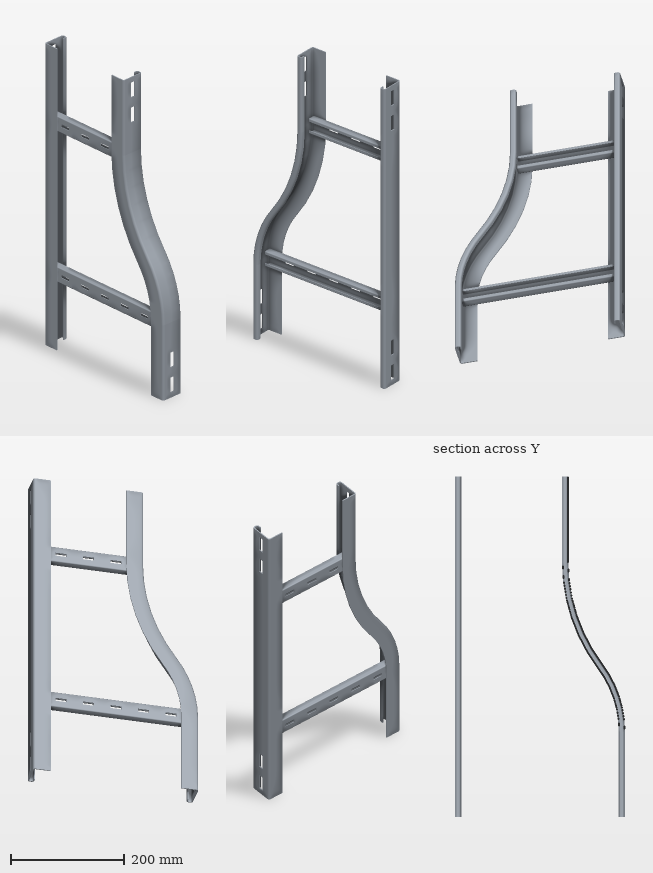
import cadquery as cq
import math

height = 600.0
bottom_width = 300.0
narrowing = bottom_width / 3
depth = 45.0

sheet = 2.0
bend_radius = 4.0
flange_width = 31.0
hook_width = 11.5
hook_drop = 9.0

bend_height = 300.0
lower_radius = 200.0
bend_radii_sum = (narrowing**2 + bend_height**2) / (2 * narrowing)
upper_radius = bend_radii_sum - lower_radius
bend_angle = math.degrees(math.asin(bend_height / bend_radii_sum))

rail_slot_length = 30.0
rail_slot_width = 9.0
slot_cutter_depth = 4 * sheet
rail_slot_end_distances = (25.0, 75.0)

rung_height = 30.0
rung_depth = 15.0
rung_sheet = 1.0
rung_bend_radius = 2.0
rung_lip_gap = 18.0
rung_right_end_gap = 6.0
rung_slot_length = 20.0
rung_slot_width = 6.0
rung_slot_pitch = bottom_width / 6
upper_slot_count = 3
lower_slot_count = 5

left_face = -bottom_width / 2
lower_right_face = bottom_width / 2
upper_right_face = lower_right_face - narrowing
front_face = -depth / 2
back_face = depth / 2
bend_top = bend_height / 2
bend_bottom = -bend_height / 2
straight_length = (height - bend_height) / 2


def rail_profile(outer_face, inward, z):
    """Rail section at height z: front flange, wall and back hook. inward is +1 or -1 along X."""

    def point(distance, y):
        return (outer_face + inward * distance, y)

    hook_end = back_face - hook_drop
    return (
        cq.Workplane("XY", origin=(0, 0, z))
        .moveTo(*point(flange_width, front_face))
        .lineTo(*point(bend_radius, front_face))
        .tangentArcPoint(point(0, front_face + bend_radius), relative=False)
        .lineTo(*point(0, back_face - bend_radius))
        .tangentArcPoint(point(bend_radius, back_face), relative=False)
        .lineTo(*point(hook_width - bend_radius, back_face))
        .tangentArcPoint(point(hook_width, back_face - bend_radius), relative=False)
        .lineTo(*point(hook_width, hook_end))
        .lineTo(*point(hook_width - sheet, hook_end))
        .lineTo(*point(hook_width - sheet, back_face - bend_radius))
        .tangentArcPoint(point(hook_width - bend_radius, back_face - sheet), relative=False)
        .lineTo(*point(bend_radius, back_face - sheet))
        .tangentArcPoint(point(sheet, back_face - bend_radius), relative=False)
        .lineTo(*point(sheet, front_face + bend_radius))
        .tangentArcPoint(point(bend_radius, front_face + sheet), relative=False)
        .lineTo(*point(flange_width, front_face + sheet))
        .close()
    )


def cut_rail_slots(rail, face, end_sign):
    """Cut the wall slots at the top (end_sign +1) or bottom (end_sign -1) of a rail."""
    for distance in rail_slot_end_distances:
        slot = cq.Workplane("XY").box(slot_cutter_depth, rail_slot_width, rail_slot_length)
        rail = rail.cut(slot.translate((face, 0, end_sign * (height / 2 - distance))))
    return rail


def make_straight_rail():
    rail = rail_profile(left_face, 1, -height / 2).extrude(height)
    for end_sign in (1, -1):
        rail = cut_rail_slots(rail, left_face, end_sign)
    return rail


def make_curved_rail():
    upper_axis = upper_right_face + upper_radius
    lower_axis = lower_right_face - lower_radius
    top = rail_profile(upper_right_face, -1, bend_top).extrude(straight_length)
    bottom = rail_profile(lower_right_face, -1, -height / 2).extrude(straight_length)
    upper_bend = rail_profile(upper_right_face, -1, bend_top).revolve(
        bend_angle, (upper_axis, 0), (upper_axis, -1)
    )
    lower_bend = rail_profile(lower_right_face, -1, bend_bottom).revolve(
        bend_angle, (lower_axis, 0), (lower_axis, -1)
    )
    rail = top.union(upper_bend).union(lower_bend).union(bottom)
    rail = cut_rail_slots(rail, upper_right_face, 1)
    return cut_rail_slots(rail, lower_right_face, -1)


def make_rung(right_face, z, slot_count):
    """Lipped channel open to the back, resting on the rail flanges, slots centred between rails."""
    start = left_face + bend_radius
    length = right_face - rung_right_end_gap - start
    middle = start + length / 2
    slots_middle = (left_face + right_face) / 2
    web_front = front_face + sheet
    rung = (
        cq.Workplane("XY")
        .box(length, rung_depth, rung_height)
        .edges("|X")
        .fillet(rung_bend_radius)
        .faces("<X or >X")
        .shell(-rung_sheet)
        .translate((middle, web_front + rung_depth / 2, z))
    )
    opening = (
        cq.Workplane("XY")
        .box(length, 2 * rung_sheet, rung_lip_gap)
        .translate((middle, web_front + rung_depth, z))
    )
    slots = (
        cq.Workplane("XZ", origin=(slots_middle, web_front, z))
        .rarray(rung_slot_pitch, 6, slot_count, 1)
        .rect(rung_slot_length, rung_slot_width)
        .extrude(-2 * rung_sheet)
    )
    return rung.cut(opening).cut(slots)


straight_rail = make_straight_rail()
curved_rail = make_curved_rail()
upper_rung = make_rung(upper_right_face, bend_top, upper_slot_count)
lower_rung = make_rung(lower_right_face, bend_bottom, lower_slot_count)

result = cq.Compound.makeCompound(
    [straight_rail.val(), curved_rail.val(), upper_rung.val(), lower_rung.val()]
)